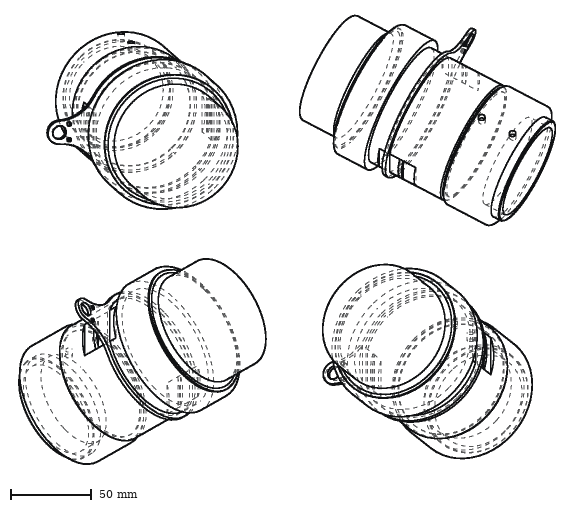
import cadquery as cq
import math

nose_end = 5.9
cup_end = 36.8
body_start = 38.0
collar_start = 90.5
collar_end = 113.6
cone_start = 114.6
cone_end = 117.6
total_length = 142.7

nose_diameter = 69.5
cup_diameter = 82.5
neck_diameter = 73.0
body_diameter = 80.0
collar_diameter = 90.0
shoulder_diameter = 83.0
rear_diameter = 73.0

nose_chamfer = 0.5
cup_fillet = 1.9
body_chamfer = 1.0
collar_fillet = 2.3
rear_fillet = 1.9
cone_angle = 45

bore_diameter = 60.5
bore_depth = 14.5

cup_hole_diameter = 4.1
cup_hole_stations = (10.7, 32.8)

flat_start = 58.0
flat_end = 83.8
flat_width = 24.8
rib_start = 67.0
rib_width = 2.4
rib_diameter = 79.8

plate_start = 76.5
plate_thickness = 2.4
plate_diameter = 86.6
lug_radius = 7.4
overall_width = 112.5
lug_reach = overall_width - collar_diameter / 2
lug_blend_radius = 25.0
lug_hole_diameter = 8.5
small_hole_diameter = 2.5
small_hole_reach = 53.8
small_hole_spacing = 10.0


def disc(start, end, diameter):
    """Solid cylinder on the X axis between two stations."""
    return cq.Workplane("YZ", origin=(start, 0, 0)).circle(diameter / 2).extrude(end - start)


def make_barrel():
    """Turned steps joined in a row from the nose to the rear."""
    nose = disc(0, nose_end, nose_diameter).faces("<X").chamfer(nose_chamfer)
    cup = disc(nose_end, cup_end, cup_diameter).edges().fillet(cup_fillet)
    neck = disc(cup_end, body_start, neck_diameter)
    body = disc(body_start, collar_start, body_diameter).faces("<X").chamfer(body_chamfer)
    collar = disc(collar_start, collar_end, collar_diameter).faces(">X").edges().fillet(collar_fillet)
    shoulder = disc(collar_end, cone_start, shoulder_diameter)
    cone_length = cone_end - cone_start
    cone = (
        cq.Workplane("YZ", origin=(cone_start, 0, 0))
        .circle(rear_diameter / 2 + cone_length * math.tan(math.radians(cone_angle)))
        .extrude(cone_length, taper=cone_angle)
    )
    rear = disc(cone_end, total_length, rear_diameter).faces(">X").edges().fillet(rear_fillet)
    barrel = nose
    for step in (cup, neck, body, collar, shoulder, cone, rear):
        barrel = barrel.union(step)
    return barrel


def cut_cup_holes(barrel):
    """Blind radial holes from +Z, as deep as the neck groove."""
    for station in cup_hole_stations:
        hole = (
            cq.Workplane("XY", origin=(station, 0, neck_diameter / 2))
            .circle(cup_hole_diameter / 2)
            .extrude(cup_diameter - neck_diameter)
        )
        barrel = barrel.cut(hole)
    return barrel


def cut_side_flats(barrel):
    """Mirrored flats on the -Y and +Y sides, leaving a rib in each."""
    flat_distance = math.sqrt((body_diameter / 2) ** 2 - (flat_width / 2) ** 2)
    flat_length = flat_end - flat_start
    core = cq.Workplane("XY").box(flat_length, 2 * flat_distance, body_diameter)
    core = core.translate((flat_start + flat_length / 2, 0, 0))
    removed = disc(flat_start, flat_end, collar_diameter).cut(core)
    rib_slab = disc(rib_start, rib_start + rib_width, rib_diameter)
    side_block = cq.Workplane("XY").box(flat_length, collar_diameter, flat_width)
    side_block = side_block.translate((flat_start + flat_length / 2, 0, 0))
    return barrel.cut(removed.intersect(side_block).cut(rib_slab))


def make_plate():
    """Ring plate whose lug blends in through two concave arcs."""
    ring_radius = plate_diameter / 2
    lug_center = lug_reach - lug_radius

    ring_distance = ring_radius + lug_blend_radius
    lug_distance = lug_radius + lug_blend_radius
    blend_y = (ring_distance**2 - lug_distance**2 + lug_center**2) / (2 * lug_center)
    blend_z = math.sqrt(ring_distance**2 - blend_y**2)

    ring_touch_y = blend_y * ring_radius / ring_distance
    ring_touch_z = blend_z * ring_radius / ring_distance
    lug_touch_y = lug_center + (blend_y - lug_center) * lug_radius / lug_distance
    lug_touch_z = blend_z * lug_radius / lug_distance
    middle_y = (ring_touch_y + lug_touch_y) / 2 - blend_y
    middle_z = (ring_touch_z + lug_touch_z) / 2 - blend_z
    reach = lug_blend_radius / math.hypot(middle_y, middle_z)
    arc_y = blend_y + middle_y * reach
    arc_z = blend_z + middle_z * reach

    plane = cq.Workplane("YZ", origin=(plate_start, 0, 0))
    outline = (
        plane.moveTo(-ring_touch_y, ring_touch_z)
        .threePointArc((ring_radius, 0), (-ring_touch_y, -ring_touch_z))
        .threePointArc((-arc_y, -arc_z), (-lug_touch_y, -lug_touch_z))
        .threePointArc((-lug_reach, 0), (-lug_touch_y, lug_touch_z))
        .threePointArc((-arc_y, arc_z), (-ring_touch_y, ring_touch_z))
        .close()
        .extrude(plate_thickness)
    )
    lug_hole = plane.center(-lug_center, 0).circle(lug_hole_diameter / 2).extrude(plate_thickness)
    small_holes = (
        plane.pushPoints([(-small_hole_reach, side * small_hole_spacing / 2) for side in (-1, 1)])
        .circle(small_hole_diameter / 2)
        .extrude(plate_thickness)
    )
    return outline.cut(lug_hole).cut(small_holes)


barrel = make_barrel().cut(disc(0, bore_depth, bore_diameter))
barrel = cut_side_flats(cut_cup_holes(barrel))
result = barrel.union(make_plate())